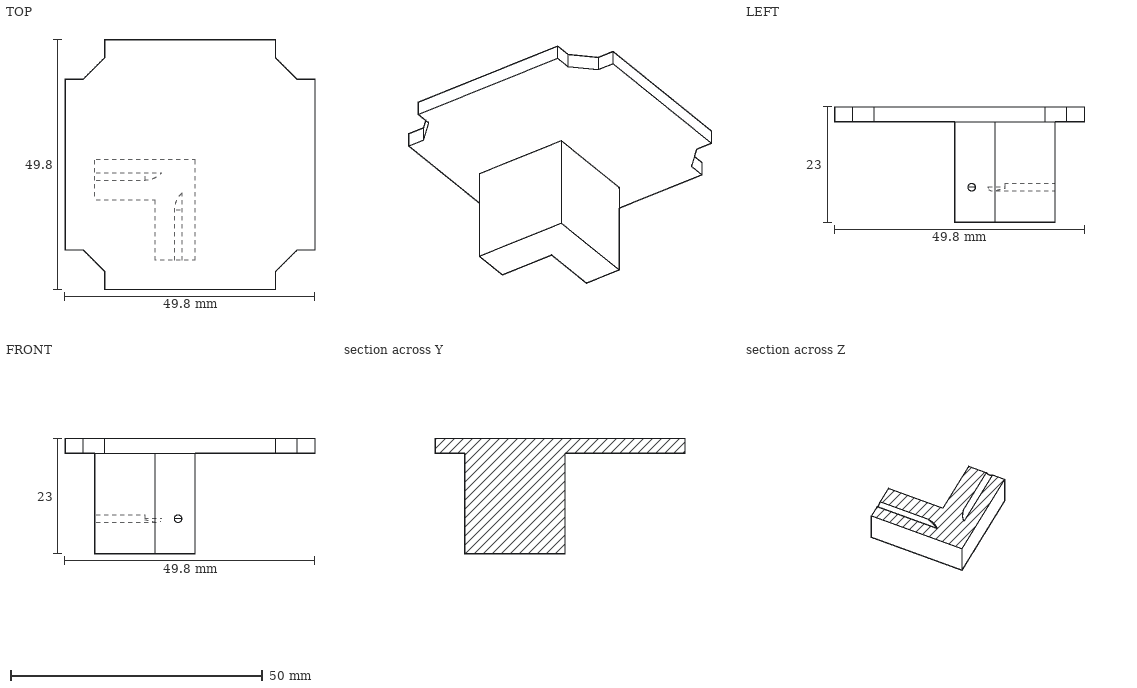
import cadquery as cq

plate_size = 49.8
plate_thickness = 3.0
notch_leg = 7.9
notch_edge = 3.6

post_height = 20.0
arm_length = 20.0
arm_width = 8.0
post_corner = 1.0

hole_diameter = 1.5
hole_depth = 10.0
hole_offset = -2.4
hole_height = 7.0
end_wall_radius = 4.5
end_wall_centre = 1.4


def make_plate():
    half = plate_size / 2
    notch_start = half - notch_leg
    notch_turn = half - notch_edge
    corners = []
    for x_sign, y_sign in ((1, 1), (-1, 1), (-1, -1), (1, -1)):
        notch = [
            (half, notch_start),
            (notch_turn, notch_start),
            (notch_start, notch_turn),
            (notch_start, half),
        ]
        if x_sign != y_sign:
            notch.reverse()
        corners += [(x_sign * x, y_sign * y) for x, y in notch]
    return (
        cq.Workplane("XY")
        .workplane(offset=post_height)
        .polyline(corners)
        .close()
        .extrude(plate_thickness)
    )


def make_post():
    arm_end = post_corner - arm_length
    inner_corner = post_corner - arm_width
    outline = [
        (post_corner, post_corner),
        (arm_end, post_corner),
        (arm_end, inner_corner),
        (inner_corner, inner_corner),
        (inner_corner, arm_end),
        (post_corner, arm_end),
    ]
    return cq.Workplane("XY").polyline(outline).close().extrude(post_height)


def make_hole_along_y():
    arm_end = post_corner - arm_length
    hole_end = arm_end + hole_depth
    axis_start = cq.Vector(hole_offset, arm_end, hole_height)
    along_y = cq.Vector(0, 1, 0)
    hole = cq.Workplane(cq.Solid.makeCylinder(hole_diameter / 2, hole_depth, axis_start, along_y))

    long_hole = cq.Workplane(
        cq.Solid.makeCylinder(hole_diameter / 2, hole_depth + end_wall_radius, axis_start, along_y)
    )
    end_wall = (
        cq.Workplane("XY")
        .center(end_wall_centre, hole_end)
        .circle(end_wall_radius)
        .extrude(hole_height)
    )
    return hole.union(long_hole.intersect(end_wall))


def make_arm_holes():
    hole_along_y = make_hole_along_y()
    hole_along_x = hole_along_y.rotate((0, 0, 0), (0, 0, 1), 90).mirror("YZ")
    return hole_along_y.union(hole_along_x)


result = make_plate().union(make_post()).cut(make_arm_holes())